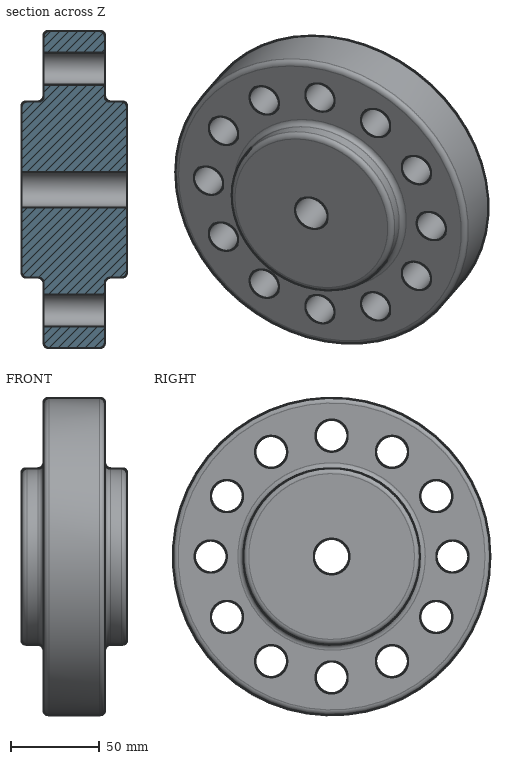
import cadquery as cq

rim_diameter = 180.0
rim_width = 35.0
hub_diameter = 100.0
hub_length = 60.0
edge_radius = 3.0
bore_diameter = 20.0
bolt_hole_count = 12
bolt_hole_diameter = 18.0
bolt_circle_diameter = 137.0


def centred_disc(diameter, length):
    """Solid disc on the X axis, centred on the origin, with rounded outer edges."""
    disc = cq.Workplane("YZ", origin=(-length / 2, 0, 0)).circle(diameter / 2).extrude(length)
    return disc.faces("<X or >X").edges().fillet(edge_radius)


def hub_root_edges(body):
    """Select the two circles where the hub meets the rim faces."""
    reach = hub_diameter / 2 + edge_radius / 2
    corner = (rim_width / 2 + edge_radius / 2, reach, reach)
    opposite_corner = tuple(-coordinate for coordinate in corner)
    return body.edges(cq.selectors.BoxSelector(opposite_corner, corner, boundingbox=True))


rim = centred_disc(rim_diameter, rim_width)
hub = centred_disc(hub_diameter, hub_length)
body = hub_root_edges(rim.union(hub)).fillet(edge_radius)

bore = cq.Workplane("YZ").circle(bore_diameter / 2).extrude(hub_length, both=True)
bolt_holes = (
    cq.Workplane("YZ")
    .polarArray(bolt_circle_diameter / 2, 0, 360, bolt_hole_count)
    .circle(bolt_hole_diameter / 2)
    .extrude(hub_length, both=True)
)

result = body.cut(bore).cut(bolt_holes)